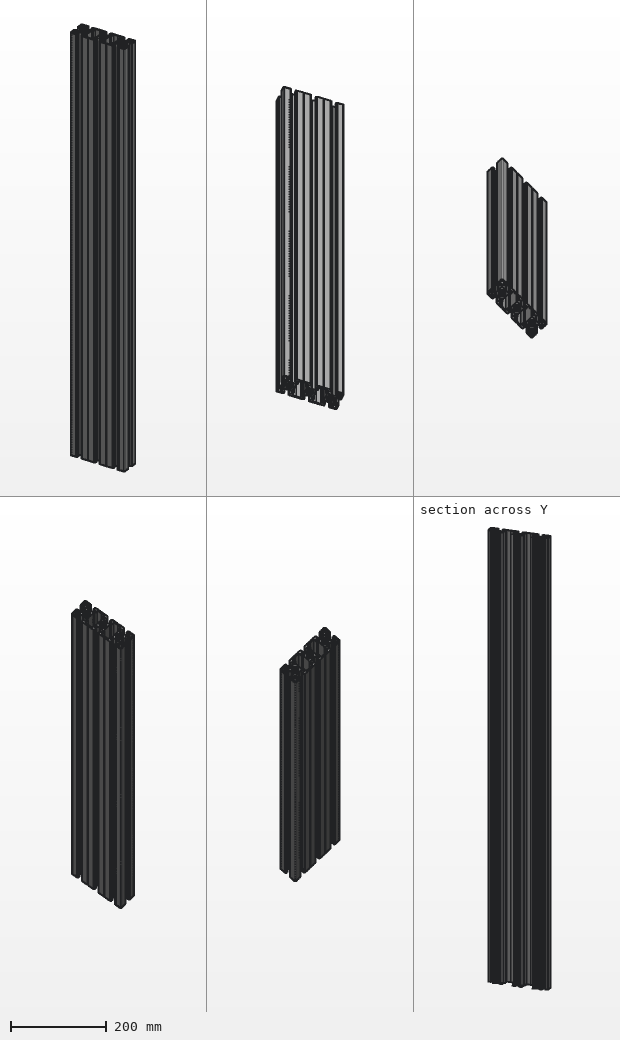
import cadquery as cq

length = 1000.0
pitch = 45.0
module_count = 3
half = pitch / 2
width = pitch * module_count
corner_radius = 3.0

slot_opening = 10.0
slot_entry_width = 16.0
slot_entry_depth = 1.0
lip_thickness = 6.0
slot_inner_width = 21.0
slot_depth = 12.0
slot_floor_width = 16.0
floor_groove_width = 3.0
floor_groove_depth = 0.5

seam_width = 2.0
seam_depth = 1.0

bore_diameter = 10.0
bore_lobe_count = 8
bore_lobe_span = 15.0
bore_lobe_width = 3.0

corner_hole_radius = 3.5
corner_hole_inset = 6.0
corner_arm_width = 2.0
corner_arm_reach = 14.0
cavity_wall = 3.0
cavity_end_width = 18.0
cavity_middle_width = 24.0
cavity_middle_height = 19.0
cavity_shoulder_height = 22.0

centres = [(i - (module_count - 1) / 2) * pitch for i in range(module_count)]
seams = [x + half for x in centres[:-1]]


def prism(points):
    """Extrude a closed outline over the full length."""
    return cq.Workplane("XY").polyline(points).close().extrude(length)


def mirrored_prism(right_side):
    """Extrude an outline given by its +X side, listed from bottom to top."""
    left_side = [(-x, y) for x, y in reversed(right_side) if x > 0]
    return prism(right_side + left_side)


def t_slot(x, angle):
    """T-slot cutter for the module at x, opening towards +Y before the turn by angle."""
    opening = slot_opening / 2
    inner = slot_inner_width / 2
    floor = slot_floor_width / 2
    lip = half - lip_thickness
    bottom = half - slot_depth
    cutter = mirrored_prism([
        (0, bottom - floor_groove_depth),
        (floor_groove_width / 2, bottom),
        (floor, bottom),
        (inner, bottom + inner - floor),
        (inner, lip),
        (opening, lip),
        (opening, half - slot_entry_depth),
        (slot_entry_width / 2, half),
    ])
    return cutter.rotate((0, 0, 0), (0, 0, 1), angle).translate((x, 0, 0))


def cavity(x):
    """Hollow between two neighbouring modules, widest between their cores."""
    end = cavity_end_width / 2
    middle = cavity_middle_width / 2
    top = half - cavity_wall
    low = cavity_middle_height / 2
    high = cavity_shoulder_height / 2
    outline = [(end, -top), (end, -high), (middle, -low), (middle, low), (end, high), (end, top)]
    return mirrored_prism(outline).translate((x, 0, 0))


def core_bore(x):
    """Round bore with lobes; each bar through the centre makes two opposite lobes."""
    bore = cq.Workplane("XY").circle(bore_diameter / 2).extrude(length)
    bar = cq.Workplane("XY").rect(bore_lobe_span, bore_lobe_width).extrude(length)
    for i in range(bore_lobe_count // 2):
        bore = bore.union(bar.rotate((0, 0, 0), (0, 0, 1), i * 360 / bore_lobe_count))
    return bore.translate((x, 0, 0))


def corner_hollow():
    """Hollow of the +X +Y corner: a round hole with a narrow arm along each outer face."""
    corner_x = width / 2
    corner_y = half
    near = corner_hole_inset - corner_hole_radius
    far = near + corner_arm_width
    reach = corner_arm_reach
    arms = prism([
        (corner_x - near, corner_y - near),
        (corner_x - reach, corner_y - near),
        (corner_x - reach, corner_y - far),
        (corner_x - far, corner_y - far),
        (corner_x - far, corner_y - reach),
        (corner_x - near, corner_y - reach),
    ])
    hole = (
        cq.Workplane("XY")
        .center(corner_x - corner_hole_inset, corner_y - corner_hole_inset)
        .circle(corner_hole_radius)
        .extrude(length)
    )
    return hole.union(arms)


def seam_groove(x, angle):
    """V-groove on the wide face above a seam."""
    groove = mirrored_prism([(0, half - seam_depth), (seam_width / 2, half)])
    return groove.rotate((0, 0, 0), (0, 0, 1), angle).translate((x, 0, 0))


result = cq.Workplane("XY").rect(width, pitch).extrude(length).edges("|Z").fillet(corner_radius)

for x in centres:
    for angle in (0, 180):
        result = result.cut(t_slot(x, angle))
result = result.cut(t_slot(centres[0], 90))
result = result.cut(t_slot(centres[-1], -90))

for x in centres:
    result = result.cut(core_bore(x))

for x in seams:
    result = result.cut(cavity(x))
    for angle in (0, 180):
        result = result.cut(seam_groove(x, angle))

right_pair = corner_hollow().union(corner_hollow().mirror("XZ"))
result = result.cut(right_pair).cut(right_pair.mirror("YZ"))